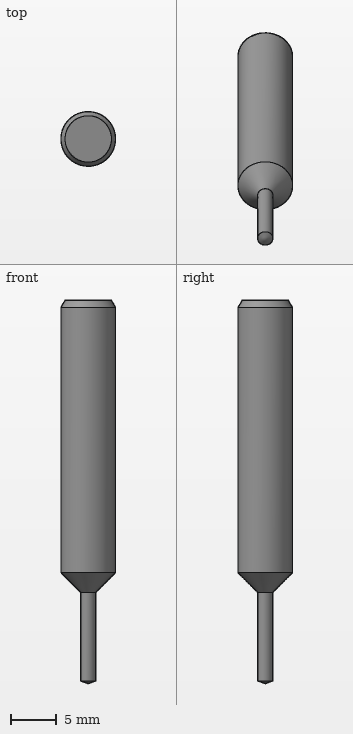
import cadquery as cq
import math

total_length = 42.0
bottom = -total_length / 2
top = total_length / 2

shank_radius = 6.0 / 2
chamfer_height = 0.8
chamfer_width = 0.45
neck_angle = 45.0

cutter_radius = 0.85
cutter_length = 10.0
point_angle = 140.0

cutter_top = bottom + cutter_length
point_height = cutter_radius / math.tan(math.radians(point_angle / 2))
neck_height = (shank_radius - cutter_radius) / math.tan(math.radians(neck_angle))


def revolve_profile(points):
    """Turn a closed radius-height outline about the Z axis."""
    return cq.Workplane("XZ").polyline(points).close().revolve(360, (0, 0), (0, 1))


def make_shank():
    """Cylindrical shank with a chamfered top and a conical neck below."""
    return revolve_profile([
        (0, cutter_top),
        (cutter_radius, cutter_top),
        (shank_radius, cutter_top + neck_height),
        (shank_radius, top - chamfer_height),
        (shank_radius - chamfer_width, top),
        (0, top),
    ])


def make_cutter():
    """Slim cylinder with a conical point, meeting the small end of the neck."""
    return revolve_profile([
        (0, bottom),
        (cutter_radius, bottom + point_height),
        (cutter_radius, cutter_top),
        (0, cutter_top),
    ])


shank = make_shank()
cutter = make_cutter()

result = cq.Compound.makeCompound([shank.val(), cutter.val()])